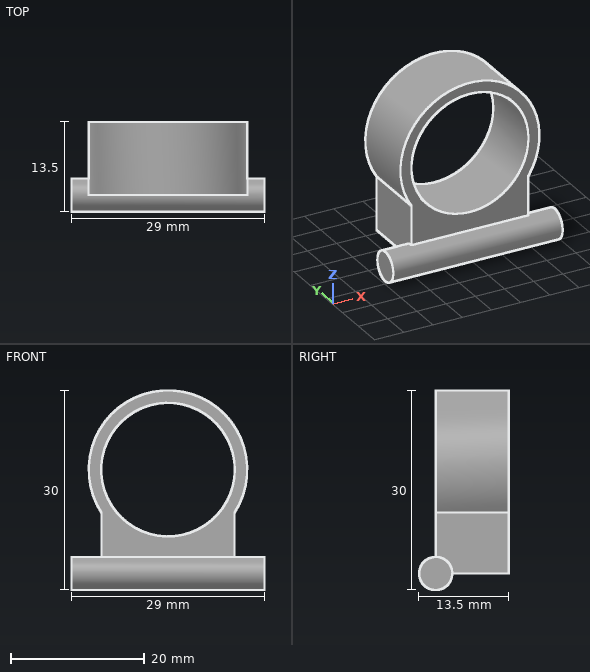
import cadquery as cq

total_height = 29.98
total_depth = 13.5
rod_length = 29.0
rod_diameter = 5.0
ring_outer_diameter = 23.8
bore_diameter = 20.0

rod_radius = rod_diameter / 2
ring_depth = total_depth - rod_radius
ring_center_height = total_height - rod_radius - ring_outer_diameter / 2
foot_width = bore_diameter


def ring_cylinder(diameter):
    """Cylinder on the ring axis, from the front face back to the rear face."""
    return (
        cq.Workplane("XZ")
        .center(0, ring_center_height)
        .circle(diameter / 2)
        .extrude(-ring_depth)
    )


def foot():
    """Block that joins the ring to the rod, ending level with the rod axis."""
    return cq.Workplane("XY").box(
        foot_width, ring_depth, ring_center_height, centered=(True, False, False)
    )


def rod():
    """Round crossbar along X, centred on the lower front edge of the foot."""
    return (
        cq.Workplane("YZ", origin=(-rod_length / 2, 0, 0))
        .circle(rod_radius)
        .extrude(rod_length)
    )


ring_with_foot = ring_cylinder(ring_outer_diameter).union(foot())
result = ring_with_foot.cut(ring_cylinder(bore_diameter)).union(rod())